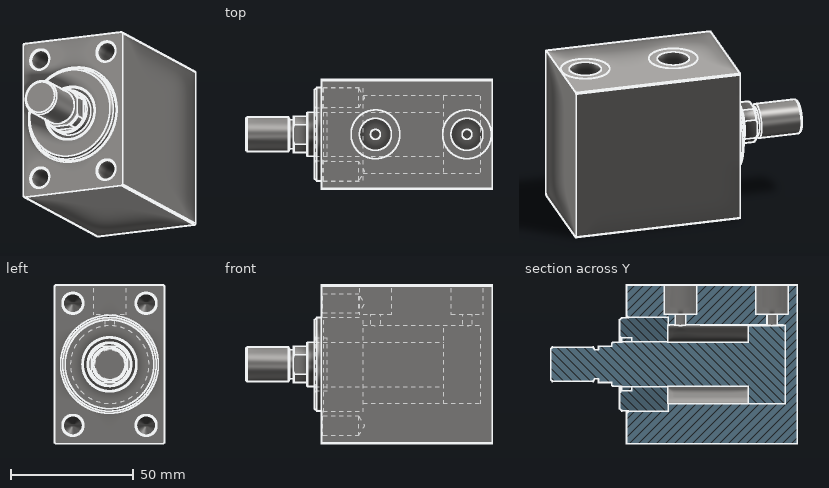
import cadquery as cq
import math


block_length = 70.0
block_width = 45.0
block_height = 65.0
block_edge_chamfer = 0.5

gland_diameter = 38.4
gland_projection = 2.8
gland_depth = 17.0
gland_chamfer = 1.0
gland_seat_mouth_diameter = 40.1

pocket_mouth_diameter = 22.5
pocket_mouth_depth = 0.4
wiper_diameter = 21.6
wiper_sink = 0.9
wiper_thickness = 4.0

bore_diameter = 32.0
bore_end_wall = 5.0
piston_length = 15.2

rod_tip_x = block_length - 101.0
rod_diameter = 18.2
collar_length = 3.2
collar_chamfer = 0.5
wrench_diameter = 17.0
wrench_flats = 14.9
wrench_length = 5.4
wrench_chamfer = 0.4
neck_diameter = 12.0
neck_length = 1.5
stud_diameter = 14.2
stud_tip_chamfer = 0.7
stud_end_chamfer_length = 0.6

port_positions = (22.1, 59.6)
spotface_diameter = 20.0
spotface_depth = 0.1
port_diameter = 13.1
port_depth = 12.0
oil_hole_diameter = 4.0

mount_pitch_y = 30.0
mount_pitch_z = 50.0
mount_hole_diameter = 8.0
mount_hole_depth = 15.2
mount_countersink_diameter = 8.9
drill_point_angle = 118.0

bore_end_x = block_length - bore_end_wall
gland_face_x = -gland_projection
pocket_floor_x = gland_face_x + wiper_sink + wiper_thickness


def cylinder_x(diameter, start_x, end_x):
    """Solid cylinder on the stroke axis between two X positions."""
    return cq.Workplane("YZ", origin=(start_x, 0, 0)).circle(diameter / 2).extrude(end_x - start_x)


def revolve_x(profile):
    """Revolve an outline of (x, radius) points that starts and ends on the stroke axis."""
    return cq.Workplane("XY").polyline(profile).close().revolve(360, (0, 0, 0), (1, 0, 0))


def make_mount_hole():
    """Cutter for a drilled blind hole with a 45 degree countersink and a drill-point end."""
    radius = mount_hole_diameter / 2
    mouth_radius = mount_countersink_diameter / 2
    point_length = radius / math.tan(math.radians(drill_point_angle / 2))
    return revolve_x([
        (0, 0),
        (0, mouth_radius),
        (mouth_radius - radius, radius),
        (mount_hole_depth, radius),
        (mount_hole_depth + point_length, 0),
    ])


def make_port(x):
    """Cutter for one oil port: spotface, port bore and oil hole down into the cylinder bore."""
    top = cq.Workplane("XY", origin=(x, 0, block_height / 2))
    spotface = top.circle(spotface_diameter / 2).extrude(-spotface_depth)
    port_bore = top.circle(port_diameter / 2).extrude(-port_depth)
    oil_hole = top.circle(oil_hole_diameter / 2).extrude(-block_height / 2)
    return spotface.union(port_bore).union(oil_hole)


def make_housing():
    block = cq.Workplane("XY").box(block_length, block_width, block_height, centered=(False, True, True))
    block = block.edges("|X").chamfer(block_edge_chamfer)

    seat_radius = gland_diameter / 2
    mouth_radius = gland_seat_mouth_diameter / 2
    bore_radius = bore_diameter / 2
    cavity = revolve_x([
        (0, 0),
        (0, mouth_radius),
        (mouth_radius - seat_radius, seat_radius),
        (gland_depth, seat_radius),
        (gland_depth, bore_radius),
        (bore_end_x, bore_radius),
        (bore_end_x, 0),
    ])
    block = block.cut(cavity)

    for x in port_positions:
        block = block.cut(make_port(x))
    for y in (-mount_pitch_y / 2, mount_pitch_y / 2):
        for z in (-mount_pitch_z / 2, mount_pitch_z / 2):
            block = block.cut(make_mount_hole().translate((0, y, z)))
    return block


def make_gland():
    gland = cylinder_x(gland_diameter, gland_face_x, gland_depth).faces("<X").chamfer(gland_chamfer)
    pocket_mouth = cylinder_x(pocket_mouth_diameter, gland_face_x, gland_face_x + pocket_mouth_depth)
    wiper_pocket = cylinder_x(wiper_diameter, gland_face_x, pocket_floor_x)
    rod_hole = cylinder_x(rod_diameter, gland_face_x, gland_depth)
    return gland.cut(pocket_mouth).cut(wiper_pocket).cut(rod_hole)


def make_wiper():
    wiper_face_x = gland_face_x + wiper_sink
    ring = cylinder_x(wiper_diameter, wiper_face_x, pocket_floor_x)
    return ring.cut(cylinder_x(rod_diameter, wiper_face_x, pocket_floor_x))


def make_wrench_section(start_x, end_x):
    """Chamfered round section with flats for a spanner."""
    section = cylinder_x(wrench_diameter, start_x, end_x).faces("<X").chamfer(wrench_chamfer)
    flats = cq.Workplane("YZ", origin=(start_x, 0, 0)).rect(wrench_flats, wrench_flats)
    return section.intersect(flats.extrude(end_x - start_x))


def make_piston_rod():
    """Stud, neck, spanner section, rod and piston as one solid."""
    collar_x = gland_face_x - collar_length
    wrench_x = collar_x - wrench_length
    neck_x = wrench_x - neck_length
    piston_x = bore_end_x - piston_length
    stud_radius = stud_diameter / 2
    neck_radius = neck_diameter / 2
    rod_radius = rod_diameter / 2
    piston_radius = bore_diameter / 2

    stud_and_neck = revolve_x([
        (rod_tip_x, 0),
        (rod_tip_x, stud_radius - stud_tip_chamfer),
        (rod_tip_x + stud_tip_chamfer, stud_radius),
        (neck_x - stud_end_chamfer_length, stud_radius),
        (neck_x, neck_radius),
        (wrench_x, neck_radius),
        (wrench_x, 0),
    ])
    rod_and_piston = revolve_x([
        (collar_x, 0),
        (collar_x, rod_radius - collar_chamfer),
        (collar_x + collar_chamfer, rod_radius),
        (piston_x, rod_radius),
        (piston_x, piston_radius),
        (bore_end_x, piston_radius),
        (bore_end_x, 0),
    ])
    return stud_and_neck.union(make_wrench_section(wrench_x, collar_x)).union(rod_and_piston)


housing = make_housing()
gland = make_gland()
wiper = make_wiper()
piston_rod = make_piston_rod()

result = cq.Compound.makeCompound([housing.val(), gland.val(), wiper.val(), piston_rod.val()])